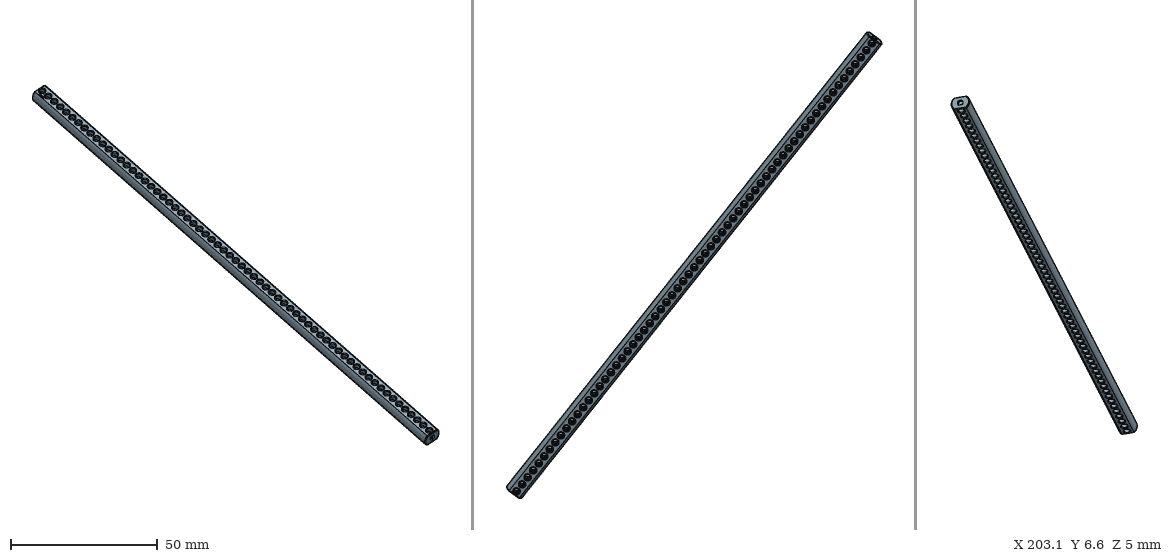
import cadquery as cq

length = 203.12
bar_diameter = 6.6
height_across_flats = 5.0
end_chamfer = 0.3

bore_diameter = 2.0

hole_count = 65
hole_pitch = length / hole_count
hole_diameter = 2.0
countersink_depth = 0.3
countersink_diameter = hole_diameter + 2 * countersink_depth

groove_length = 2.4
groove_width = 0.4
groove_depth = 0.1
groove_x = -length / 2 + hole_pitch
groove_y = -1.6


def make_bar():
    round_bar = cq.Workplane("YZ").circle(bar_diameter / 2).extrude(length / 2, both=True)
    flats = cq.Workplane("XY").box(length, bar_diameter, height_across_flats)
    return round_bar.intersect(flats).faces("<X or >X").chamfer(end_chamfer)


def make_bore():
    return cq.Workplane("YZ").circle(bore_diameter / 2).extrude(length / 2, both=True)


def make_hole_cutter():
    """Half profile of one hole, turned about Z into a cylinder that flares at both ends."""
    flat_height = height_across_flats / 2
    straight_height = flat_height - countersink_depth
    return (
        cq.Workplane("XZ")
        .moveTo(0, -flat_height)
        .lineTo(countersink_diameter / 2, -flat_height)
        .lineTo(hole_diameter / 2, -straight_height)
        .lineTo(hole_diameter / 2, straight_height)
        .lineTo(countersink_diameter / 2, flat_height)
        .lineTo(0, flat_height)
        .close()
        .revolve(360, (0, 0, 0), (0, 1, 0))
        .val()
    )


def make_hole_row():
    cutter = make_hole_cutter()
    return (
        cq.Workplane("XY")
        .rarray(hole_pitch, 1, hole_count, 1)
        .eachpoint(cutter.moved)
    )


def make_marking_groove():
    groove_floor = height_across_flats / 2 - groove_depth
    return (
        cq.Workplane("XY", origin=(groove_x, groove_y, groove_floor))
        .slot2D(groove_length, groove_width)
        .extrude(groove_depth)
    )


result = make_bar().cut(make_bore()).cut(make_hole_row()).cut(make_marking_groove())